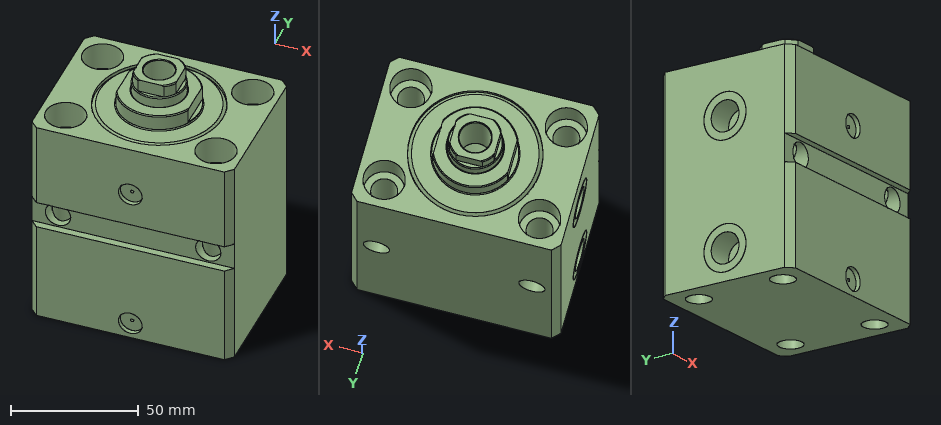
import cadquery as cq
import math


block_x = 85.0
block_y = 63.0
block_top = 93.0
corner_chamfer = 3.1

slot_bottom = 44.0
slot_height = 12.0
slot_depth = corner_chamfer

bolt_diameter = 10.5
bolt_spacing_x = 63.0
bolt_spacing_y = 40.0
counterbore_diameter = 16.5
counterbore_depth = 12.1
cross_hole_z = slot_bottom + slot_height / 2

port_hole_z = (14.0, 68.9)
port_spotface_diameter = 20.0
port_spotface_depth = 0.1
port_diameter = 13.2
port_depth = 12.1
seal_port_z = (7.1, 70.9)
seal_port_diameter = 9.9
seal_port_depth = 2.0
orifice_diameter = 1.2
orifice_length = 2.2

disc_diameter = 53.0
disc_thickness = 16.5
disc_chamfer = 1.5
collar_diameter = 34.1
collar_top = 100.0
collar_chamfer = 0.4
collar_flare = 0.4
collar_flats = 30.2
flats_height_above_disc = 0.9

rod_diameter = 22.0
rod_chamfer = 0.4
rod_shoulder = 104.4
head_diameter = rod_diameter - 2 * rod_chamfer
head_flats = 18.1
rod_top = 109.9
rod_hole_diameter = 12.6
rod_hole_depth = 22.0
rod_hole_chamfer = 0.3
drill_point_angle = 118.0

disc_bottom = block_top - disc_thickness
flats_bottom = block_top + flats_height_above_disc
bore_countersink = 0.4


def cylinder(diameter, bottom, top):
    return cq.Workplane("XY").workplane(offset=bottom).circle(diameter / 2).extrude(top - bottom)


def revolve_profile(points):
    """Revolve (radius, z) points about the Z axis."""
    return cq.Workplane("XZ").polyline(points).close().revolve(360, (0, 0), (0, 1))


def left_face_hole(z, diameter, start, depth):
    """Round cutter going in +X, starting at a given depth below the left face."""
    plane = cq.Plane(origin=(start - block_x / 2, 0, z), xDir=(0, -1, 0), normal=(1, 0, 0))
    return cq.Workplane(plane).circle(diameter / 2).extrude(depth)


def front_face_hole(x, z, diameter, start, depth):
    """Round cutter going in +Y, starting at a given depth below the front face."""
    plane = cq.Plane(origin=(x, start - block_y / 2, z), xDir=(1, 0, 0), normal=(0, 1, 0))
    return cq.Workplane(plane).circle(diameter / 2).extrude(depth)


def make_block():
    block = cq.Workplane("XY").rect(block_x, block_y).extrude(block_top)
    block = block.edges("|Z").chamfer(corner_chamfer)

    block = block.cut(cylinder(disc_diameter, disc_bottom, block_top))

    slot = cq.Workplane("XY").box(block_x, slot_depth, slot_height, centered=(True, False, False))
    block = block.cut(slot.translate((0, -block_y / 2, slot_bottom)))

    block = (
        block.faces(">Z").workplane(origin=(0, 0, block_top))
        .rect(bolt_spacing_x, bolt_spacing_y, forConstruction=True).vertices()
        .cboreHole(bolt_diameter, counterbore_diameter, counterbore_depth)
    )

    for x in (-bolt_spacing_x / 2, bolt_spacing_x / 2):
        block = block.cut(front_face_hole(x, cross_hole_z, bolt_diameter, 0, block_y))

    for z in port_hole_z:
        block = block.cut(left_face_hole(z, port_spotface_diameter, 0, port_spotface_depth))
        block = block.cut(left_face_hole(z, port_diameter, 0, port_depth))
        block = block.cut(left_face_hole(z, orifice_diameter, port_depth, orifice_length))

    for z in seal_port_z:
        block = block.cut(front_face_hole(0, z, seal_port_diameter, 0, seal_port_depth))
        block = block.cut(front_face_hole(0, z, orifice_diameter, seal_port_depth, orifice_length))
    return block


def make_gland():
    bore_radius = rod_diameter / 2
    disc_radius = disc_diameter / 2
    collar_radius = collar_diameter / 2
    gland = revolve_profile([
        (bore_radius, disc_bottom),
        (disc_radius, disc_bottom),
        (disc_radius, block_top - disc_chamfer),
        (disc_radius - disc_chamfer, block_top),
        (collar_radius + collar_flare, block_top),
        (collar_radius, block_top + collar_flare),
        (collar_radius, collar_top - collar_chamfer),
        (collar_radius - collar_chamfer, collar_top),
        (bore_radius + bore_countersink, collar_top),
        (bore_radius, collar_top - bore_countersink),
    ])

    flats_height = collar_top - flats_bottom
    between_flats = (
        cq.Workplane("XY").workplane(offset=flats_bottom)
        .rect(collar_flats, disc_diameter).extrude(flats_height)
    )
    beside_flats = cylinder(disc_diameter, flats_bottom, collar_top).cut(between_flats)
    return gland.cut(beside_flats)


def make_rod():
    shank = cylinder(rod_diameter, disc_bottom, rod_shoulder).faces(">Z").chamfer(rod_chamfer)

    head = cylinder(head_diameter, rod_shoulder, rod_top).faces(">Z").chamfer(rod_chamfer)
    square = cq.Workplane("XY").workplane(offset=rod_shoulder).rect(head_flats, head_flats)
    rod = shank.union(head.intersect(square.extrude(rod_top - rod_shoulder)))

    hole_radius = rod_hole_diameter / 2
    hole_bottom = rod_top - rod_hole_depth
    point_length = hole_radius / math.tan(math.radians(drill_point_angle / 2))
    hole = revolve_profile([
        (0, rod_top),
        (hole_radius + rod_hole_chamfer, rod_top),
        (hole_radius, rod_top - rod_hole_chamfer),
        (hole_radius, hole_bottom),
        (0, hole_bottom - point_length),
    ])
    return rod.cut(hole)


block = make_block()
gland = make_gland()
rod = make_rod()

result = cq.Compound.makeCompound([block.val(), gland.val(), rod.val()])